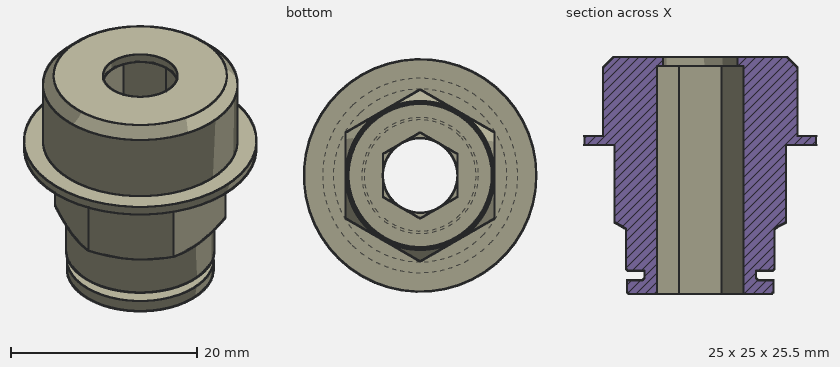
import cadquery as cq
import math

RING_TOP = 1.5
SHOULDER_TOP = 1.75
BODY_BOTTOM = 2.5
HEX_BOTTOM = 7.0
FLANGE_BOTTOM = 16.0
FLANGE_TOP = 17.0
TOTAL_HEIGHT = 25.5

RING_DIAMETER = 15.8
NECK_DIAMETER = 12.0
SHOULDER_DIAMETER = NECK_DIAMETER + 2 * (SHOULDER_TOP - RING_TOP)
BODY_DIAMETER = 16.0
FLANGE_DIAMETER = 25.0
STUD_DIAMETER = 20.95
STUD_TIP_DIAMETER = 18.63

EDGE_CHAMFER = 0.2
STUD_CHAMFER = (STUD_DIAMETER - STUD_TIP_DIAMETER) / 2
HEX_CHAMFER_ANGLE = math.radians(30)

HALF_SECTOR = 30
HEX_ACROSS_FLATS = BODY_DIAMETER
BORE_DIAMETER = 8.0
SOCKET_ACROSS_FLATS = BORE_DIAMETER
LIP_THICKNESS = 1.0


def disc(diameter, bottom, top):
    """Upright cylinder on the Z axis between two heights."""
    return cq.Workplane("XY").workplane(offset=bottom).circle(diameter / 2).extrude(top - bottom)


def hexagon(across_flats, bottom, top):
    """Upright hexagonal prism with flats facing +X and -X."""
    across_corners = across_flats / math.cos(math.radians(HALF_SECTOR))
    prism = cq.Workplane("XY").polygon(6, across_corners).extrude(top - bottom)
    return prism.rotate((0, 0, 0), (0, 0, 1), HALF_SECTOR).translate((0, 0, bottom))


def make_release_ring():
    """Ring at the bottom, with its neck and the small tapered shoulder between them."""
    ring = disc(RING_DIAMETER, 0, RING_TOP).faces("<Z").chamfer(EDGE_CHAMFER)
    neck = disc(NECK_DIAMETER, RING_TOP, BODY_BOTTOM)
    shoulder = (
        cq.Workplane("XY")
        .workplane(offset=RING_TOP)
        .circle(SHOULDER_DIAMETER / 2)
        .workplane(offset=SHOULDER_TOP - RING_TOP)
        .circle(NECK_DIAMETER / 2)
        .loft()
    )
    return ring.union(neck).union(shoulder)


def make_hex_body():
    """Wrench hexagon whose lower corners are trimmed by a cone starting at the body."""
    height = FLANGE_BOTTOM - HEX_BOTTOM
    bottom_radius = BODY_DIAMETER / 2
    top_radius = bottom_radius + height / math.tan(HEX_CHAMFER_ANGLE)
    cone = (
        cq.Workplane("XZ")
        .moveTo(0, HEX_BOTTOM)
        .lineTo(bottom_radius, HEX_BOTTOM)
        .lineTo(top_radius, FLANGE_BOTTOM)
        .lineTo(0, FLANGE_BOTTOM)
        .close()
        .revolve(360, (0, 0, 0), (0, 1, 0))
    )
    return hexagon(HEX_ACROSS_FLATS, HEX_BOTTOM, FLANGE_BOTTOM).intersect(cone)


def make_outside():
    """All outside shapes, stacked from the bottom upwards."""
    body = disc(BODY_DIAMETER, BODY_BOTTOM, HEX_BOTTOM).faces("<Z").chamfer(EDGE_CHAMFER)
    flange = disc(FLANGE_DIAMETER, FLANGE_BOTTOM, FLANGE_TOP)
    stud = disc(STUD_DIAMETER, FLANGE_TOP, TOTAL_HEIGHT).faces(">Z").chamfer(STUD_CHAMFER)
    return make_release_ring().union(body).union(make_hex_body()).union(flange).union(stud)


def make_passage():
    """Through passage: a round mouth at the top, then a hexagonal socket."""
    lip_bottom = TOTAL_HEIGHT - LIP_THICKNESS
    mouth = disc(BORE_DIAMETER, lip_bottom, TOTAL_HEIGHT)
    return hexagon(SOCKET_ACROSS_FLATS, 0, lip_bottom).union(mouth)


result = make_outside().cut(make_passage())